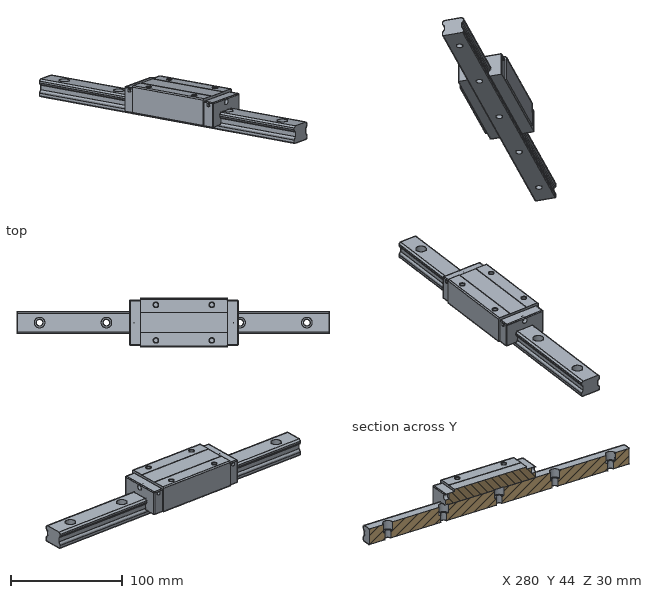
import cadquery as cq

rail_length = 280.0
rail_width = 20.0
rail_height = 16.2
rail_top_chamfer = 1.7
rail_foot_chamfer = 0.8
foot_flank_bottom = 3.5
foot_flank_bend = 4.2
foot_flank_bend_width = 19.0
rail_waist_width = 16.2
waist_bottom = 6.2
waist_top = 10.5
head_flank_bend = 11.2
head_flank_bend_width = 18.2
head_flank_top = 13.0

mount_hole_count = 5
mount_hole_pitch = 60.0
mount_hole_diameter = 6.0
counterbore_diameter = 9.5
counterbore_depth = 8.5

carriage_offset = 9.5
carriage_top = 30.0
body_length = 77.8
body_width = 44.0
body_bottom = 5.0
body_top_chamfer = 1.0
recess_width = 18.0
recess_depth = 0.3
cap_end_to_end = 97.7
cap_width = 41.0
cap_bottom = 4.8
cap_top = 27.5
cap_chamfer = 0.8

tapped_hole_spacing_x = 50.0
tapped_hole_spacing_y = 32.0
tapped_hole_diameter = 4.2
tapped_hole_mouth_diameter = 5.0
tapped_hole_mouth_angle = 90
tapped_hole_depth = 8.5

end_port_diameter = 5.0
end_port_height = 24.0
end_port_depth = 4.2
side_port_diameter = 3.0
side_port_height = 24.5
side_port_spacing = 86.8
side_port_depth = 2.8


def make_rail_bar():
    """Rail without its holes; it also cuts the carriage channel."""
    half_width = rail_width / 2
    half_profile = [
        (half_width - rail_foot_chamfer, 0),
        (half_width, rail_foot_chamfer),
        (half_width, foot_flank_bottom),
        (foot_flank_bend_width / 2, foot_flank_bend),
        (rail_waist_width / 2, waist_bottom),
        (rail_waist_width / 2, waist_top),
        (head_flank_bend_width / 2, head_flank_bend),
        (half_width, head_flank_top),
        (half_width, rail_height - rail_top_chamfer),
        (half_width - rail_top_chamfer, rail_height),
    ]
    mirrored_profile = [(-y, z) for y, z in reversed(half_profile)]
    return (
        cq.Workplane("YZ")
        .polyline(half_profile + mirrored_profile)
        .close()
        .extrude(rail_length / 2, both=True)
    )


def make_rail():
    return (
        make_rail_bar()
        .faces(">Z")
        .workplane(origin=(0, 0, rail_height))
        .rarray(mount_hole_pitch, 2.8, mount_hole_count, 1)
        .cboreHole(mount_hole_diameter, counterbore_diameter, counterbore_depth)
    )


def make_block(length, width, bottom, top):
    """Box centred on the carriage, between two heights."""
    return (
        cq.Workplane("XY", origin=(carriage_offset, 0, bottom))
        .rect(length, width)
        .extrude(top - bottom)
    )


def make_carriage_body():
    """Middle block with a shallow recess along its top and four tapped holes."""
    body = make_block(body_length, body_width, body_bottom, carriage_top)
    body = (
        body.edges("|X and >Z")
        .chamfer(body_top_chamfer)
        .faces(">Z")
        .workplane(origin=(carriage_offset, 0, carriage_top))
        .rarray(tapped_hole_spacing_x, tapped_hole_spacing_y, 2, 2)
        .cskHole(
            tapped_hole_diameter,
            tapped_hole_mouth_diameter,
            tapped_hole_mouth_angle,
            tapped_hole_depth,
        )
    )
    recess = make_block(body_length, recess_width, carriage_top - recess_depth, carriage_top)
    return body.cut(recess)


def make_end_caps():
    """Both end caps as one block; the carriage body fills its middle."""
    caps = make_block(cap_end_to_end, cap_width, cap_bottom, cap_top)
    return caps.edges("|Z or >Z").chamfer(cap_chamfer)


def make_end_port(side):
    end_x = carriage_offset + side * cap_end_to_end / 2
    return (
        cq.Workplane("YZ", origin=(end_x, 0, end_port_height))
        .circle(end_port_diameter / 2)
        .extrude(-side * end_port_depth)
    )


def make_side_ports(side):
    return (
        cq.Workplane("XZ", origin=(carriage_offset, side * cap_width / 2, side_port_height))
        .rarray(side_port_spacing, 2.8, 2, 1)
        .circle(side_port_diameter / 2)
        .extrude(side * side_port_depth)
    )


def make_carriage():
    carriage = make_carriage_body().union(make_end_caps())
    for side in (-1, 1):
        carriage = carriage.cut(make_end_port(side))
        carriage = carriage.cut(make_side_ports(side))
    return carriage.cut(make_rail_bar())


rail = make_rail()
carriage = make_carriage()
result = cq.Compound.makeCompound([rail.solids().val(), carriage.solids().val()])